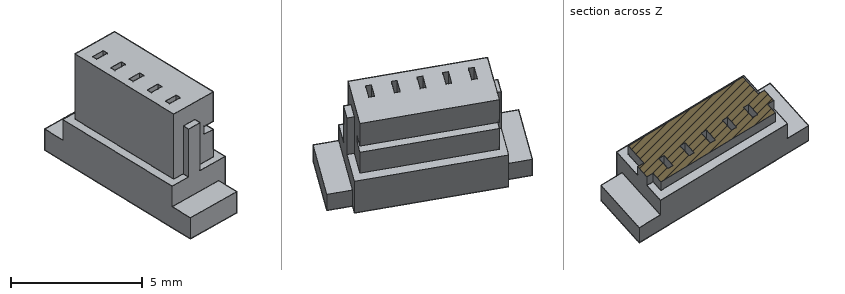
import cadquery as cq

base_length = 8.0
base_depth = 2.46
base_height = 0.99
shroud_length = 6.0
shroud_depth = 2.8
shroud_height = 1.95

housing_length = 5.42
housing_front = 0.36
housing_back = base_depth
total_height = 5.0

rib_front = 0.86
rib_back = 1.47
rib_top = 4.19

groove_depth = 0.49
groove_top = 3.62
groove_outer_floor = 3.23
groove_inner_floor = 3.26

slot_count = 5
slot_pitch = 1.0
slot_width = 0.22
slot_front = 0.72
slot_back = 1.28
slot_bottom = shroud_height


def centred_block(length, front, back, bottom, top):
    """Block centred on X = 0 between the given Y and Z limits."""
    size = (length, back - front, top - bottom)
    return cq.Workplane("XY").box(*size, centered=(True, False, False)).translate((0, front, bottom))


def latch_groove():
    """Groove profile in YZ, run through the full housing length."""
    groove_inner = housing_back - groove_depth
    profile = [
        (housing_back, groove_outer_floor),
        (groove_inner, groove_inner_floor),
        (groove_inner, groove_top),
        (housing_back, groove_top),
    ]
    return cq.Workplane("YZ").polyline(profile).close().extrude(housing_length / 2, both=True)


base = centred_block(base_length, 0, base_depth, 0, base_height)
shroud = centred_block(shroud_length, 0, shroud_depth, 0, shroud_height)
housing = centred_block(housing_length, housing_front, housing_back, 0, total_height)
ribs = centred_block(shroud_length, rib_front, rib_back, 0, rib_top)

result = base.union(shroud).union(housing).union(ribs).cut(latch_groove())

slot = centred_block(slot_width, slot_front, slot_back, slot_bottom, total_height)
for index in range(slot_count):
    slot_x = (index - (slot_count - 1) / 2) * slot_pitch
    result = result.cut(slot.translate((slot_x, 0, 0)))